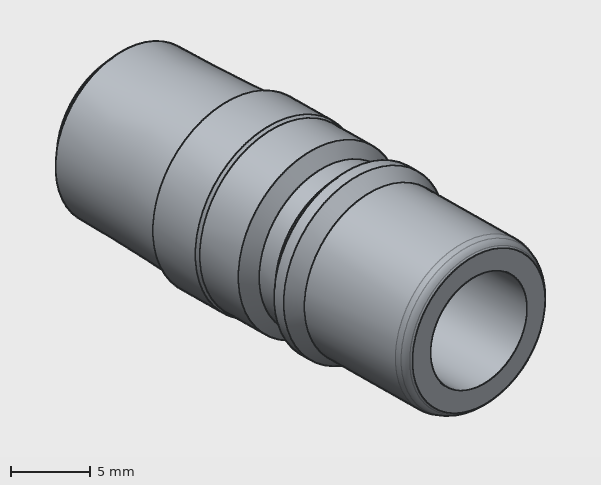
import cadquery as cq

length = 34.0
collar_radius = 14.0 / 2
shoulder_radius = 13.75 / 2
tail_radius = 12.4 / 2
groove_radius = 11.85 / 2
bore_radius = 8.2 / 2

nose_tip_radius = 5.3
nose_start_radius = 6.3
nose_mid_radius = 6.4
nose_end_radius = 6.63
nose_chamfer = nose_start_radius - nose_tip_radius
collar_start = 10.98
nose_middle = (nose_chamfer + collar_start) / 2

collar_end = 15.0
shoulder_start = collar_end + (collar_radius - shoulder_radius) * 2
shoulder_end = 18.9

groove_wall = shoulder_radius - groove_radius
groove_start = shoulder_end + groove_wall
groove_end = 21.35
rib_start = groove_end + groove_wall
rib_end = 23.2
tail_start = 24.4

lead_in_start = 32.98
lead_in_end = 33.4
lead_in_radius = 6.1
edge_break = 0.15
tail_end_radius = 5.65

mouth_radius = 4.83
mouth_depth = mouth_radius - bore_radius


def sleeve():
    """Revolve the outer outline and the bore outline around the X axis."""
    return (
        cq.Workplane("XY")
        .moveTo(mouth_depth, bore_radius)
        .lineTo(0, mouth_radius)
        .lineTo(0, nose_tip_radius)
        .lineTo(nose_chamfer, nose_start_radius)
        .threePointArc((nose_middle, nose_mid_radius), (collar_start, nose_end_radius))
        .lineTo(collar_start, collar_radius)
        .lineTo(collar_end, collar_radius)
        .lineTo(shoulder_start, shoulder_radius)
        .lineTo(shoulder_end, shoulder_radius)
        .lineTo(groove_start, groove_radius)
        .lineTo(groove_end, groove_radius)
        .lineTo(rib_start, shoulder_radius)
        .lineTo(rib_end, shoulder_radius)
        .lineTo(tail_start, tail_radius)
        .lineTo(lead_in_start, tail_radius)
        .lineTo(lead_in_end, lead_in_radius)
        .tangentArcPoint((length - edge_break, tail_end_radius + edge_break), relative=False)
        .lineTo(length, tail_end_radius)
        .lineTo(length, bore_radius)
        .close()
        .revolve(360, (0, 0, 0), (1, 0, 0))
    )


result = sleeve()